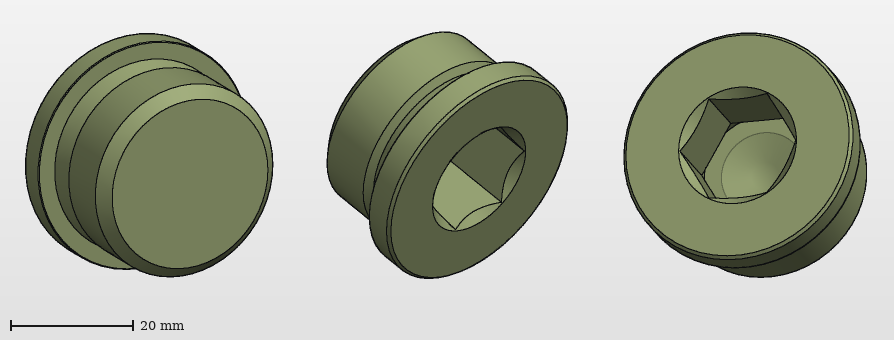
import cadquery as cq
import math

total_length = 21.0
flange_thickness = 5.0
groove_bottom_x = 9.0

flange_radius = 19.5
body_radius = 16.5
groove_radius = 15.0

face_chamfer = 0.5
back_chamfer = 0.15

groove_wall_angle = 60.0
end_chamfer = 2.03

hex_sides = 6
hex_across_flats = 17.1
hex_depth = 13.0
countersink_radius = 10.02
countersink_angle = 45.0
pilot_radius = 7.1
pilot_cone_angle = 150.0
relief_length = 2.0


def make_turned_body():
    """Revolve the half profile of flange, groove and plug about the X axis."""
    groove_wall_length = (body_radius - groove_radius) / math.tan(math.radians(groove_wall_angle))
    profile = (
        cq.Workplane("XY")
        .moveTo(0, 0)
        .lineTo(0, flange_radius - face_chamfer)
        .lineTo(face_chamfer, flange_radius)
        .lineTo(flange_thickness - back_chamfer, flange_radius)
        .lineTo(flange_thickness, flange_radius - back_chamfer)
        .lineTo(flange_thickness, body_radius)
        .lineTo(groove_bottom_x, groove_radius)
        .lineTo(groove_bottom_x + groove_wall_length, body_radius)
        .lineTo(total_length - end_chamfer, body_radius)
        .lineTo(total_length, body_radius - end_chamfer)
        .lineTo(total_length, 0)
        .close()
    )
    return profile.revolve(360, (0, 0, 0), (1, 0, 0))


def make_cone(base_x, base_radius, height):
    """Cone on the X axis with its base at base_x and its tip towards +X."""
    return (
        cq.Workplane("XY")
        .moveTo(base_x, 0)
        .lineTo(base_x, base_radius)
        .lineTo(base_x + height, 0)
        .close()
        .revolve(360, (0, 0, 0), (1, 0, 0))
    )


def make_socket():
    """Hexagon with corners on the Y axis, its countersink, round relief and conical pilot end."""
    corner_diameter = hex_across_flats / math.cos(math.pi / hex_sides)
    hexagon = cq.Workplane("YZ").polygon(hex_sides, corner_diameter).extrude(hex_depth)

    countersink_height = countersink_radius * math.tan(math.radians(countersink_angle))
    countersink = make_cone(0, countersink_radius, countersink_height)

    relief = (
        cq.Workplane("YZ")
        .workplane(offset=hex_depth)
        .circle(countersink_radius)
        .extrude(relief_length)
    )

    pilot_height = pilot_radius / math.tan(math.radians(pilot_cone_angle / 2))
    pilot_end = make_cone(hex_depth + relief_length, pilot_radius, pilot_height)

    return hexagon.union(countersink).union(relief).union(pilot_end)


result = make_turned_body().cut(make_socket())